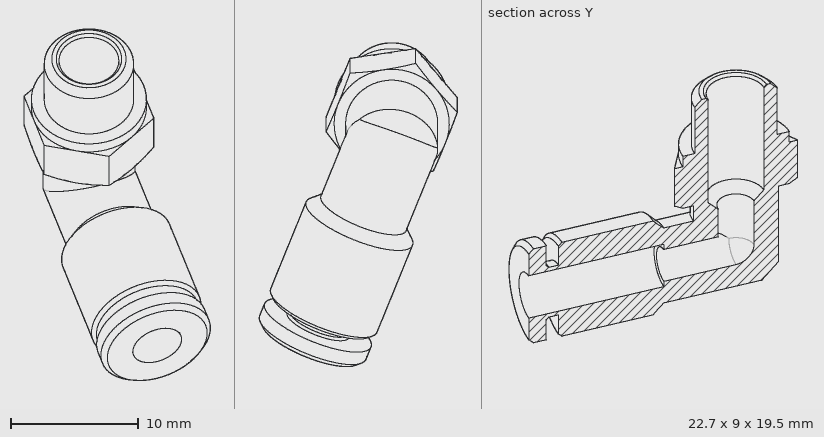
import cadquery as cq
import math


elbow_radius = 7.2 / 2
corner_cut_depth = 1.0
corner_cut_radius = 3.7

clearance = 10.0

stem_top = 15.0
stem_radius = 7.0 / 2
stem_chamfer = 0.6
collar_top = 10.0
collar_radius = 9.0 / 2
hex_top = 9.0
hex_bottom = 5.0
hex_across_flats = 9.0
hex_chamfer_angle = 30.0

socket_cone_start = 6.1
socket_end = 15.0
socket_radius = 9.0 / 2
socket_end_chamfer = 0.3
ring_neck_radius = 4.8 / 2
ring_neck_chamfer = 0.2
flange_start = 16.0
flange_end = 17.5
flange_radius = 9.0 / 2
flange_chamfer = 0.4

stem_bore_radius = 4.67 / 2
stem_bore_chamfer = 0.22
stem_bore_bottom = 5.0
throat_radius = 3.0 / 2
tube_bore_radius = 4.0 / 2
tube_stop = socket_cone_start


def rod(plane, radius, start, end):
    """Cylinder along the normal of a plane, between two distances from the origin."""
    return cq.Workplane(plane).workplane(offset=start).circle(radius).extrude(end - start)


def turned_about_z(points):
    """Revolve a closed (radius, z) outline about the Z axis."""
    return cq.Workplane("XZ").polyline(points).close().revolve(360, (0, 0), (0, 1))


def turned_about_x(points):
    """Revolve a closed (x, radius) outline about the X axis."""
    return cq.Workplane("XY").polyline(points).close().revolve(360, (0, 0), (1, 0))


def mitred_elbow():
    """Two equal cylinders joined on a 45 degree mitre, with a rounded outer corner."""
    upright = rod("XY", elbow_radius, -elbow_radius, hex_bottom)
    level = rod("YZ", elbow_radius, -elbow_radius, socket_cone_start)
    above_mitre = (
        cq.Workplane("XZ")
        .polyline([(-clearance, -clearance), (clearance, clearance), (-clearance, clearance)])
        .close()
        .extrude(clearance, both=True)
    )
    below_mitre = above_mitre.rotate((0, 0, 0), (1, 0, 1), 180)
    elbow = upright.intersect(above_mitre).union(level.intersect(below_mitre))
    return elbow.intersect(corner_envelope())


def corner_envelope():
    """Round-backed bar lying across the outer corner, open towards the rest of the elbow."""
    corner_distance = elbow_radius * math.sqrt(2) - corner_cut_depth
    across_corner = cq.Plane(origin=(0, 0, 0), xDir=(0, 1, 0), normal=(1, 0, -1))
    arc_centre = corner_cut_radius - corner_distance
    return (
        cq.Workplane(across_corner)
        .moveTo(-corner_cut_radius, clearance)
        .lineTo(-corner_cut_radius, arc_centre)
        .threePointArc((0, -corner_distance), (corner_cut_radius, arc_centre))
        .lineTo(corner_cut_radius, clearance)
        .close()
        .extrude(clearance, both=True)
    )


def hexagon():
    """Hexagon with corners on the X axis and its lower corners chamfered."""
    sides = 6
    flat_radius = hex_across_flats / 2
    corner_radius = flat_radius / math.cos(math.pi / sides)
    height = hex_top - hex_bottom
    prism = cq.Workplane("XY").workplane(offset=hex_bottom).polygon(sides, 2 * corner_radius).extrude(height)
    chamfer_rise = (corner_radius - flat_radius) * math.tan(math.radians(hex_chamfer_angle))
    envelope = turned_about_z([
        (0, hex_bottom),
        (flat_radius, hex_bottom),
        (corner_radius, hex_bottom + chamfer_rise),
        (corner_radius, hex_top),
        (0, hex_top),
    ])
    return prism.intersect(envelope)


def stem():
    """Collar and chamfered threaded stem above the hexagon."""
    return turned_about_z([
        (0, hex_top),
        (collar_radius, hex_top),
        (collar_radius, collar_top),
        (stem_radius, collar_top),
        (stem_radius, stem_top - stem_chamfer),
        (stem_radius - stem_chamfer, stem_top),
        (0, stem_top),
    ])


def tube_socket():
    """Socket body with its 45 degree cone, then the neck and flange of the release ring."""
    cone_length = socket_radius - elbow_radius
    return turned_about_x([
        (socket_cone_start, 0),
        (socket_cone_start, elbow_radius),
        (socket_cone_start + cone_length, socket_radius),
        (socket_end - socket_end_chamfer, socket_radius),
        (socket_end, socket_radius - socket_end_chamfer),
        (socket_end, ring_neck_radius),
        (flange_start - ring_neck_chamfer, ring_neck_radius),
        (flange_start, ring_neck_radius + ring_neck_chamfer),
        (flange_start, flange_radius),
        (flange_end - flange_chamfer, flange_radius),
        (flange_end, flange_radius - flange_chamfer),
        (flange_end, 0),
    ])


def stem_passage():
    """Chamfered stem bore, 45 degree cone and narrow throat down to the centre."""
    cone_depth = stem_bore_radius - throat_radius
    return turned_about_z([
        (0, 0),
        (throat_radius, 0),
        (throat_radius, stem_bore_bottom - cone_depth),
        (stem_bore_radius, stem_bore_bottom),
        (stem_bore_radius, stem_top - stem_bore_chamfer),
        (stem_bore_radius + stem_bore_chamfer, stem_top),
        (0, stem_top),
    ])


def tube_passage():
    """Tube bore from the open end, then a narrow bore closed by a hemisphere at the centre."""
    tube_bore = rod("YZ", tube_bore_radius, tube_stop, flange_end)
    narrow_bore = rod("YZ", throat_radius, 0, tube_stop)
    rounded_end = cq.Workplane("XY").sphere(throat_radius)
    return tube_bore.union(narrow_bore).union(rounded_end)


body = mitred_elbow().union(hexagon()).union(stem()).union(tube_socket())
result = body.cut(stem_passage()).cut(tube_passage())